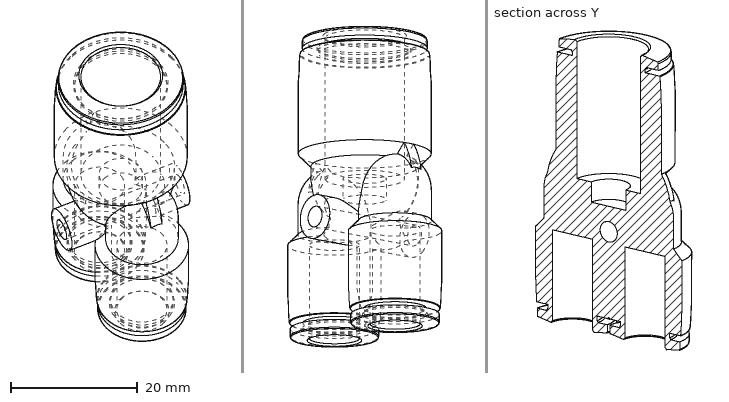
import cadquery as cq
import math

total_height = 48.0
branch_offset = 7.2

socket_radius = 21.0 / 2
socket_band_radius = 20.75 / 2
socket_end_radius = 20.5 / 2
socket_bottom = 29.0
socket_taper_start = 40.65
socket_band_start = 43.8
socket_end = 45.2
socket_collar_radius = 14.6 / 2
socket_cap_radius = 19.8 / 2
socket_cap_underside = 46.05
socket_cap_edge = 47.2
socket_cap_bevel_height = 0.3
socket_bore_radius = 12.6 / 2
socket_bore_floor = 24.95
passage_radius = 6.8 / 2
passage_floor = 21.6

hub_radius = 8.5
hub_top = socket_bottom - (socket_radius - hub_radius)
hub_center = 25.0

branch_radius = 29.2 / 2 - branch_offset
branch_band_radius = 14.5 / 2
branch_end_radius = 14.3 / 2
branch_end = 2.85
branch_band_start = 4.15
branch_taper_start = 7.25
branch_shoulder = 15.4
branch_neck_radius = 5.75
branch_neck_bottom = branch_shoulder + branch_radius - branch_neck_radius
branch_dome_center = 22.0
branch_collar_radius = 9.95 / 2
branch_cap_radius = 14.0 / 2
branch_cap_underside = 1.85
branch_cap_edge = 0.6
branch_cap_bevel_height = 0.2
branch_bore_radius = 7.9 / 2
branch_bore_floor = branch_shoulder

mouth_chamfer = 0.35
collar_flare_height = 0.3
collar_flare_width = 0.2
cap_bevel_width = 0.1
rim_chamfer = 0.1

branch_mouth_radius = branch_bore_radius + mouth_chamfer
socket_mouth_radius = socket_bore_radius + mouth_chamfer

boss_radius = 7.0 / 2
boss_length = 2 * socket_radius
boss_height = 17.35
mounting_hole_radius = 3.3 / 2

rib_width = 2.0
rib_foot_height = 24.8
rib_bulge = 0.25
rib_embed = 0.7


def revolved(profile):
    """Revolve a closed (radius, height) profile about Z."""
    return profile.close().revolve(360, (0, 0, 0), (0, 1, 0))


def dome_point(radius, center_height, angle):
    """Point on a ball outline, with the angle in degrees above the horizontal."""
    turn = math.radians(angle)
    return radius * math.cos(turn), center_height + radius * math.sin(turn)


def make_socket():
    return revolved(
        cq.Workplane("XZ")
        .moveTo(0, hub_center - hub_radius)
        .threePointArc(dome_point(hub_radius, hub_center, -45), (hub_radius, hub_center))
        .lineTo(hub_radius, hub_top)
        .lineTo(socket_radius, socket_bottom)
        .lineTo(socket_radius, socket_taper_start)
        .lineTo(socket_band_radius, socket_band_start)
        .lineTo(socket_end_radius, socket_end - rim_chamfer)
        .lineTo(socket_end_radius - rim_chamfer, socket_end)
        .lineTo(socket_collar_radius, socket_end)
        .lineTo(socket_collar_radius, socket_cap_underside - collar_flare_height)
        .lineTo(socket_collar_radius + collar_flare_width, socket_cap_underside)
        .lineTo(socket_cap_radius, socket_cap_underside)
        .lineTo(socket_cap_radius, socket_cap_edge)
        .lineTo(socket_cap_radius - cap_bevel_width, socket_cap_edge + socket_cap_bevel_height)
        .lineTo(socket_mouth_radius, total_height)
        .lineTo(0, total_height)
    )


def make_socket_bore():
    return revolved(
        cq.Workplane("XZ")
        .moveTo(0, passage_floor)
        .lineTo(passage_radius, passage_floor)
        .lineTo(passage_radius, socket_bore_floor)
        .lineTo(socket_bore_radius, socket_bore_floor)
        .lineTo(socket_bore_radius, total_height - mouth_chamfer)
        .lineTo(socket_mouth_radius, total_height)
        .lineTo(0, total_height)
    )


def make_branch():
    return revolved(
        cq.Workplane("XZ")
        .moveTo(0, 0)
        .lineTo(branch_mouth_radius, 0)
        .lineTo(branch_cap_radius - cap_bevel_width, branch_cap_edge - branch_cap_bevel_height)
        .lineTo(branch_cap_radius, branch_cap_edge)
        .lineTo(branch_cap_radius, branch_cap_underside)
        .lineTo(branch_collar_radius + collar_flare_width, branch_cap_underside)
        .lineTo(branch_collar_radius, branch_cap_underside + collar_flare_height)
        .lineTo(branch_collar_radius, branch_end)
        .lineTo(branch_end_radius - rim_chamfer, branch_end)
        .lineTo(branch_end_radius, branch_end + rim_chamfer)
        .lineTo(branch_band_radius, branch_band_start)
        .lineTo(branch_radius, branch_taper_start)
        .lineTo(branch_radius, branch_shoulder)
        .lineTo(branch_neck_radius, branch_neck_bottom)
        .lineTo(branch_neck_radius, branch_dome_center)
        .threePointArc(
            dome_point(branch_neck_radius, branch_dome_center, 45),
            (0, branch_dome_center + branch_neck_radius),
        )
    )


def make_branch_bore():
    return revolved(
        cq.Workplane("XZ")
        .lineTo(branch_mouth_radius, 0)
        .lineTo(branch_bore_radius, mouth_chamfer)
        .lineTo(branch_bore_radius, branch_bore_floor)
        .lineTo(0, branch_bore_floor)
    )


def make_rib():
    """Rib on the +X side, its outer edge bowed from the socket rim to the dome."""
    foot_rise = rib_foot_height - branch_dome_center
    foot_x = branch_offset + math.sqrt(branch_neck_radius**2 - foot_rise**2)
    return (
        cq.Workplane("XZ")
        .moveTo(branch_offset, socket_bottom)
        .lineTo(socket_radius, socket_bottom)
        .sagittaArc((foot_x, rib_foot_height), rib_bulge)
        .lineTo(foot_x, rib_foot_height - rib_embed)
        .lineTo(branch_offset, rib_foot_height - rib_embed)
        .close()
        .extrude(rib_width / 2, both=True)
    )


def y_cylinder(radius):
    """Cylinder along Y at the boss axis, as long as the boss."""
    return (
        cq.Workplane("XZ")
        .center(0, boss_height)
        .circle(radius)
        .extrude(boss_length / 2, both=True)
    )


def on_both_sides(shape, offset):
    """Copy of the shape shifted to +X, plus its mirror image on the -X side."""
    right_side = shape.translate((offset, 0, 0))
    return right_side.union(right_side.mirror("YZ"))


body = make_socket()
body = body.union(on_both_sides(make_branch(), branch_offset))
body = body.union(on_both_sides(make_rib(), 0))
body = body.union(y_cylinder(boss_radius))

body = body.cut(make_socket_bore())
body = body.cut(on_both_sides(make_branch_bore(), branch_offset))
result = body.cut(y_cylinder(mounting_hole_radius))